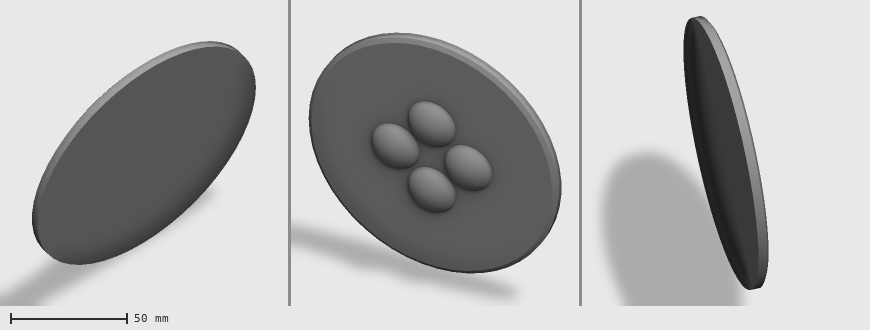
import cadquery as cq
import math

disc_diameter = 120.0
disc_thickness = 5.0
bevel_width = 2.0
bevel_depth = 1.2

dome_count = 4
dome_base_radius = 11.5
dome_height = 6.0
dome_offset = 17.5

disc_radius = disc_diameter / 2
sphere_radius = (dome_base_radius**2 + dome_height**2) / (2 * dome_height)


def make_disc():
    """Disc revolved about X, with its -X rim bevelled."""
    profile = [
        (0, 0),
        (0, disc_radius - bevel_width),
        (bevel_depth, disc_radius),
        (disc_thickness, disc_radius),
        (disc_thickness, 0),
    ]
    return cq.Workplane("XY").polyline(profile).close().revolve(360, (0, 0, 0), (1, 0, 0))


def make_dome():
    """Spherical cap centred on the X axis, rising from the disc face toward -X."""
    return (
        cq.Workplane("XY")
        .moveTo(-dome_height, 0)
        .radiusArc((0, dome_base_radius), sphere_radius)
        .lineTo(disc_thickness / 2, dome_base_radius)
        .lineTo(disc_thickness / 2, 0)
        .close()
        .revolve(360, (0, 0, 0), (1, 0, 0))
    )


result = make_disc()
for index in range(dome_count):
    angle = 2 * math.pi * index / dome_count
    position = (0, dome_offset * math.cos(angle), dome_offset * math.sin(angle))
    result = result.union(make_dome().translate(position))